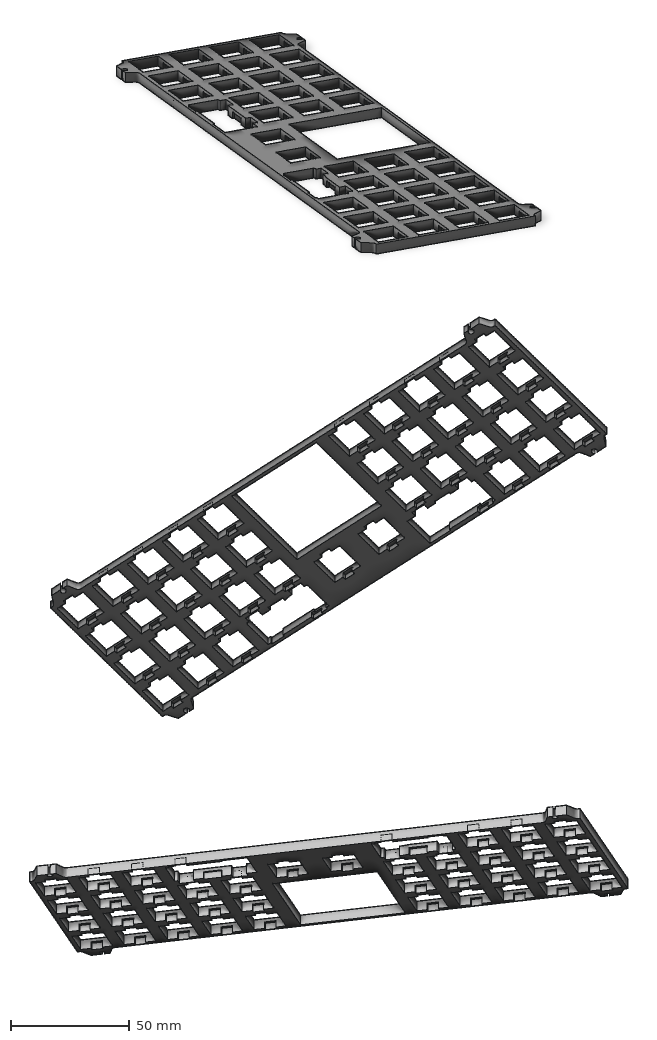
import cadquery as cq

plate_length = 241.84
plate_width = 75.15
plate_thickness = 4.5
selection_margin = 0.1

key_pitch = 19.05
key_hole = 14.0
side_rim = 2.0
columns_per_side = 5
row_count = 4
outer_column_x = plate_length / 2 - side_rim - key_hole / 2
bottom_row_y = -(row_count - 1) * key_pitch / 2
double_key_columns = (3, 4)

clip_width = 5.0
clip_depth = 1.5
clip_land = 1.5
clip_height = plate_thickness - clip_land

thumb_center_x = -0.2
thumb_key_spacing = 24.0
thumb_key_y = -20.3

screen_length = 46.0
screen_center_x = 0.5
screen_width = 43.8
screen_center_y = 14.2

stabilizer_spacing = 23.4
stabilizer_slot_width = 6.65
stabilizer_top = 10.0
stabilizer_bottom = -7.75
double_clip_width = 8.0
double_key_length = key_pitch + key_hole
left_back_top = 7.6
left_extra_length = 3.0
right_shoulder_rise = 0.6
right_corner_radius = 0.8
right_curve_length = 4.4
right_curve_mid_drop = 0.15

tab_reach = 5.0
tab_outer_root = 1.8
tab_outer_tip = 4.6
tab_inner_tip = 13.0
tab_inner_root = 15.3
tab_root_radius = 2.0
tab_hole_diameter = 2.5
tab_hole_inset = 9.95
tab_hole_edge_distance = 1.17


def box_between(x_min, x_max, y_min, y_max, height=plate_thickness):
    """Block standing on the bottom plane with the given plan extents."""
    block = cq.Workplane("XY").box(x_max - x_min, y_max - y_min, height, centered=False)
    return block.translate((x_min, y_min, 0))


def centered_block(x, y, length, width, height=plate_thickness):
    """Block standing on the bottom plane and centred at (x, y)."""
    block = cq.Workplane("XY").box(length, width, height, centered=(True, True, False))
    return block.translate((x, y, 0))


def mirrored_four_ways(solid):
    """The solid together with its copies across both centre planes."""
    pair = solid.union(solid.mirror("YZ"))
    return pair.union(pair.mirror("XZ"))


def make_plate():
    """Rectangular plate with four flared mounting tabs."""
    half_width = plate_width / 2
    end_x = plate_length / 2
    tab_profile = [
        (end_x - tab_outer_root, half_width),
        (end_x - tab_outer_tip, half_width + tab_reach),
        (end_x - tab_inner_tip, half_width + tab_reach),
        (end_x - tab_inner_root, half_width),
        (end_x - tab_inner_root, 0),
        (end_x - tab_outer_root, 0),
    ]
    tab = cq.Workplane("XY").polyline(tab_profile).close().extrude(plate_thickness)
    plate = centered_block(0, 0, plate_length, plate_width)
    plate = plate.union(mirrored_four_ways(tab))
    root_x = end_x - tab_outer_root + selection_margin
    root_y = half_width + selection_margin
    roots = cq.selectors.BoxSelector((-root_x, -root_y, 0), (root_x, root_y, plate_thickness))
    return plate.edges("|Z").edges(roots).fillet(tab_root_radius)


def make_tab_holes():
    """Round holes that just break through the tip of each tab."""
    x = plate_length / 2 - tab_hole_inset
    y = plate_width / 2 + tab_reach - tab_hole_edge_distance
    hole = cq.Workplane("XY").center(x, y).circle(tab_hole_diameter / 2).extrude(plate_thickness)
    return mirrored_four_ways(hole)


def make_switch_hole(x, y):
    """Square switch opening with clip recesses under its front and back walls."""
    recesses = centered_block(x, y, clip_width, key_hole + 2 * clip_depth, clip_height)
    return centered_block(x, y, key_hole, key_hole).union(recesses)


def make_front_clip_recess(x):
    """Recess under the front wall of the bottom row for one switch clip."""
    return box_between(
        x - clip_width / 2,
        x + clip_width / 2,
        bottom_row_y - key_hole / 2 - clip_depth,
        bottom_row_y,
        clip_height,
    )


def make_double_key_opening(x):
    """Opening for a double-width key with stabilizer slots and a back clip recess."""
    y = bottom_row_y
    opening = centered_block(x, y, double_key_length, key_hole)
    for side in (-1, 1):
        slot_x = x + side * stabilizer_spacing / 2
        slot = box_between(
            slot_x - stabilizer_slot_width / 2,
            slot_x + stabilizer_slot_width / 2,
            y + stabilizer_bottom,
            y + stabilizer_top,
        )
        opening = opening.union(slot)
    recess = box_between(
        x - double_clip_width / 2,
        x + double_clip_width / 2,
        y,
        y + key_hole / 2 + clip_depth,
        clip_height,
    )
    return opening.union(recess)


def make_left_double_key():
    """Left double-width opening, deeper at the back and longer at its inner end."""
    x = -double_key_x
    y = bottom_row_y
    deeper_back = box_between(x - stabilizer_spacing / 2, x + stabilizer_spacing / 2, y, y + left_back_top)
    inner_end = box_between(
        x + stabilizer_spacing / 2,
        x + double_key_length / 2 + left_extra_length,
        y + stabilizer_bottom,
        y + left_back_top,
    )
    opening = make_double_key_opening(x).union(deeper_back).union(inner_end)
    return opening.union(make_front_clip_recess(-column_x(double_key_columns[0])))


def make_right_double_key():
    """Right double-width opening with rounded back corners and a curved run-out."""
    x = double_key_x
    y = bottom_row_y
    shoulder_top = y + key_hole / 2 + right_shoulder_rise
    shoulders = box_between(x - double_key_length / 2, x + double_key_length / 2, y, shoulder_top)
    shoulders = shoulders.edges("|Z and >Y").fillet(right_corner_radius)
    middle_length = stabilizer_spacing - stabilizer_slot_width
    middle = box_between(x - middle_length / 2, x + middle_length / 2, y, shoulder_top)
    slot_edge = x - middle_length / 2
    curve_end = slot_edge + right_curve_length
    run_out = (
        cq.Workplane("XY")
        .moveTo(slot_edge, y)
        .lineTo(slot_edge, shoulder_top)
        .threePointArc(
            (slot_edge + right_curve_length / 2, shoulder_top - right_curve_mid_drop),
            (curve_end, y + key_hole / 2),
        )
        .lineTo(curve_end, y)
        .close()
        .extrude(plate_thickness)
    )
    opening = make_double_key_opening(x).union(shoulders.cut(middle)).union(run_out)
    return opening.union(make_front_clip_recess(column_x(double_key_columns[1])))


def column_x(column):
    """Distance of a key column from the middle, counted inward from the plate end."""
    return outer_column_x - column * key_pitch


def switch_positions():
    """Centres of all single-key openings."""
    positions = [(thumb_center_x + side * thumb_key_spacing / 2, thumb_key_y) for side in (-1, 1)]
    for row in range(row_count):
        for column in range(columns_per_side):
            if row == 0 and column in double_key_columns:
                continue
            x = column_x(column)
            y = bottom_row_y + row * key_pitch
            positions += [(-x, y), (x, y)]
    return positions


double_key_x = sum(column_x(column) for column in double_key_columns) / len(double_key_columns)

result = make_plate().cut(make_tab_holes())
for switch_x, switch_y in switch_positions():
    result = result.cut(make_switch_hole(switch_x, switch_y))
result = result.cut(make_left_double_key())
result = result.cut(make_right_double_key())
result = result.cut(centered_block(screen_center_x, screen_center_y, screen_length, screen_width))